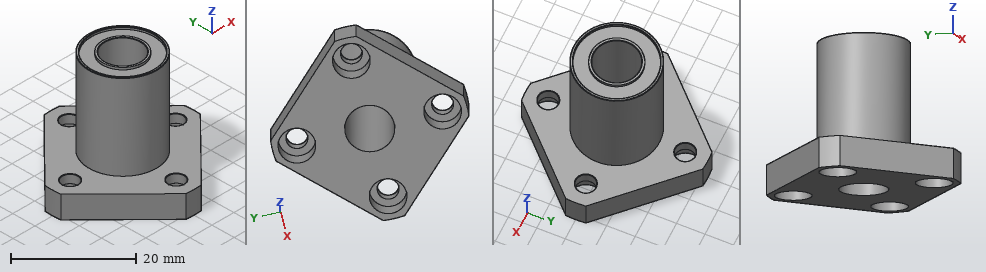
import cadquery as cq

flange_diameter = 32.0
flange_width = 25.0
flange_thickness = 5.0

total_height = 24.0
sleeve_diameter = 15.0
bore_diameter = 8.0

recess_outer_diameter = 14.0
recess_inner_diameter = 9.0
recess_depth = 0.48

bolt_circle_diameter = 24.0
hole_diameter = 3.5
counterbore_diameter = 6.0
counterbore_depth = 3.1
hole_count = 4

edge_chamfer = 0.1


def make_cylinder(diameter, bottom, top):
    return cq.Workplane("XY").workplane(offset=bottom).circle(diameter / 2).extrude(top - bottom)


def make_countersink(diameter, top):
    """Cone that breaks the upper edge of a hole of the given diameter."""
    return (
        cq.Workplane("XY")
        .workplane(offset=top - edge_chamfer)
        .circle(diameter / 2)
        .workplane(offset=edge_chamfer)
        .circle(diameter / 2 + edge_chamfer)
        .loft(ruled=True)
    )


def make_flange():
    square = (
        cq.Workplane("XY")
        .rect(flange_width, flange_width)
        .extrude(flange_thickness)
        .rotate((0, 0, 0), (0, 0, 1), 45)
    )
    return square.intersect(make_cylinder(flange_diameter, 0, flange_thickness))


def make_sleeve():
    return make_cylinder(sleeve_diameter, 0, total_height).faces(">Z").chamfer(edge_chamfer)


def make_seal_recess():
    """Ring cutter that leaves a raised collar around the bore."""
    outer = make_cylinder(recess_outer_diameter, total_height - recess_depth, total_height)
    outer = outer.union(make_countersink(recess_outer_diameter, total_height))
    collar = make_cylinder(recess_inner_diameter, total_height - recess_depth, total_height)
    return outer.cut(collar)


def make_bore():
    bore = make_cylinder(bore_diameter, 0, total_height)
    return bore.union(make_countersink(bore_diameter, total_height))


def make_mounting_hole():
    hole = make_cylinder(hole_diameter, 0, flange_thickness)
    hole = hole.union(make_countersink(hole_diameter, flange_thickness))
    hole = hole.union(make_cylinder(counterbore_diameter, 0, counterbore_depth))
    return hole.translate((bolt_circle_diameter / 2, 0, 0))


result = make_flange().union(make_sleeve())
result = result.cut(make_seal_recess()).cut(make_bore())

mounting_hole = make_mounting_hole()
for index in range(hole_count):
    angle = index * 360 / hole_count
    result = result.cut(mounting_hole.rotate((0, 0, 0), (0, 0, 1), angle))